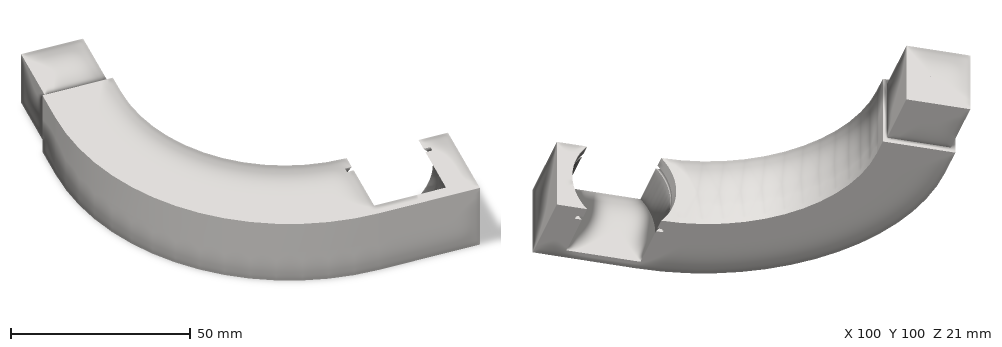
import cadquery as cq
import math

LENGTH = 100.0
HEIGHT = 21.0
HALF_HEIGHT = HEIGHT / 2

PLUG_LENGTH = 20.0
PLUG_WIDTH = 18.5
PLUG_HEIGHT = 18.0

NARROW_WIDTH = 21.0
HEAD_WIDTH = 25.0
OUTER_RADIUS = 70.0
HEAD_INNER_X = LENGTH - HEAD_WIDTH
BEND_CENTER_Y = OUTER_RADIUS
OUTER_CENTER_X = LENGTH - OUTER_RADIUS
INNER_RADIUS = BEND_CENTER_Y - NARROW_WIDTH
INNER_CENTER_X = HEAD_INNER_X - INNER_RADIUS

SOCKET_RADIUS = 15.0
SOCKET_Y = 80.5
SOCKET_FLOOR_X = 96.5
GROOVE_RADIUS = 16.5
GROOVE_START_X = 79.0
GROOVE_WIDTH = 1.5


def bend_midpoint(center_x, radius):
    """Middle of the quarter arc that runs from below its centre to the right of it."""
    offset = radius * math.sqrt(0.5)
    return (center_x + offset, BEND_CENTER_Y - offset)


def make_plug():
    """Upper half of the plug."""
    margin = (NARROW_WIDTH - PLUG_WIDTH) / 2
    plug = cq.Workplane("XY").box(PLUG_LENGTH, PLUG_WIDTH, PLUG_HEIGHT / 2, centered=False)
    return plug.translate((0, margin, 0))


def make_arm():
    """Upper half of the bend and the straight head, from the plug to the far end."""
    return (
        cq.Workplane("XY")
        .moveTo(PLUG_LENGTH, 0)
        .lineTo(OUTER_CENTER_X, 0)
        .threePointArc(bend_midpoint(OUTER_CENTER_X, OUTER_RADIUS), (LENGTH, BEND_CENTER_Y))
        .lineTo(LENGTH, LENGTH)
        .lineTo(HEAD_INNER_X, LENGTH)
        .lineTo(HEAD_INNER_X, BEND_CENTER_Y)
        .threePointArc(bend_midpoint(INNER_CENTER_X, INNER_RADIUS), (INNER_CENTER_X, NARROW_WIDTH))
        .lineTo(PLUG_LENGTH, NARROW_WIDTH)
        .close()
        .extrude(HALF_HEIGHT)
    )


def socket_cylinder(radius, start_x, end_x):
    """Cylinder on the socket axis, which runs along X at mid height."""
    return (
        cq.Workplane("YZ", origin=(start_x, SOCKET_Y, 0))
        .circle(radius)
        .extrude(end_x - start_x)
    )


def make_upper_half():
    socket = socket_cylinder(SOCKET_RADIUS, OUTER_CENTER_X, SOCKET_FLOOR_X)
    groove = socket_cylinder(GROOVE_RADIUS, GROOVE_START_X, GROOVE_START_X + GROOVE_WIDTH)
    return make_arm().union(make_plug()).cut(socket).cut(groove)


upper_half = make_upper_half()
lower_half = upper_half.mirror("XY")

result = cq.Compound.makeCompound([upper_half.val(), lower_half.val()])